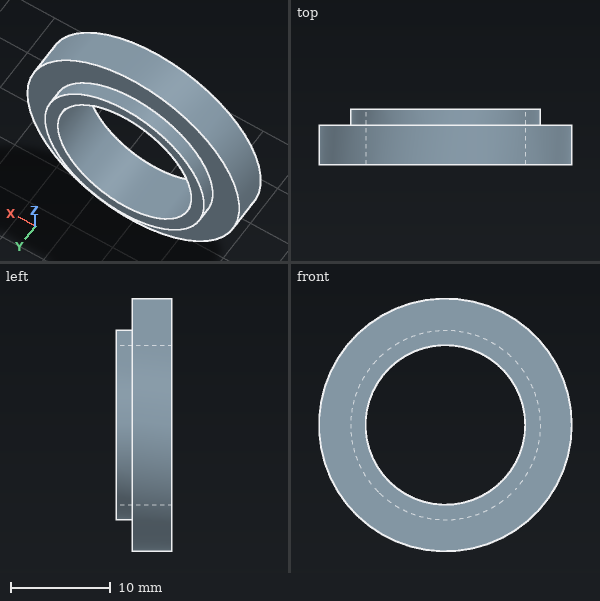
import cadquery as cq

flange_diameter = 25.4
spigot_diameter = 19.05
bore_diameter = 16.0
total_length = 5.6
flange_thickness = 4.0

front_face = cq.Workplane("XZ", origin=(0, -total_length / 2, 0))


def cylinder(diameter, length):
    """Solid cylinder running from the front face toward +Y."""
    return front_face.circle(diameter / 2).extrude(-length)


flange = cylinder(flange_diameter, flange_thickness)
spigot = cylinder(spigot_diameter, total_length)
bore = cylinder(bore_diameter, total_length)

result = flange.union(spigot).cut(bore)